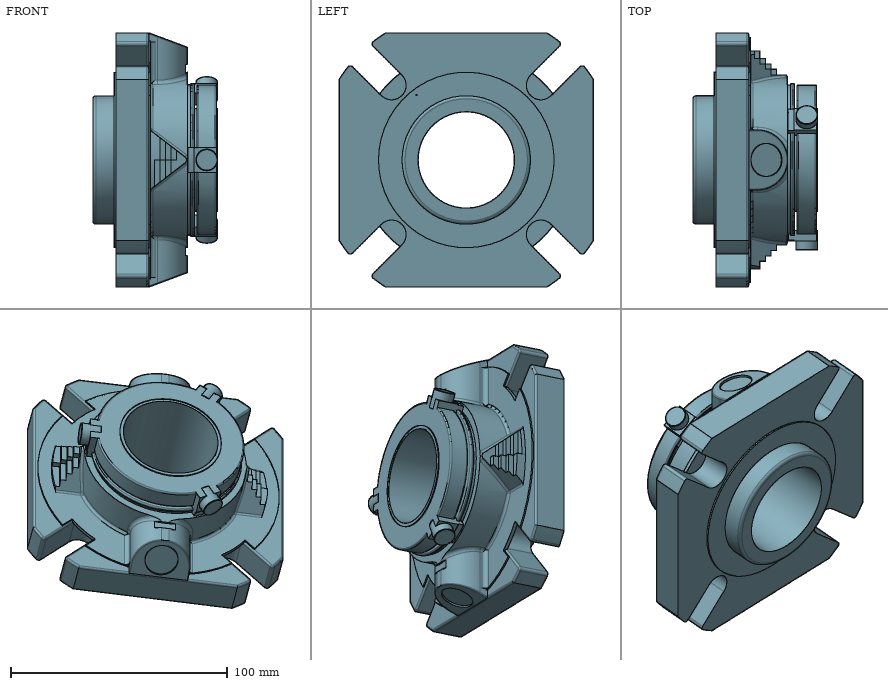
import cadquery as cq
import math

flange_size = 117.5
flange_front = 10.7
flange_back = 25.8
flange_edge_radius = 0.9
pad_dia = 113.3
pad_end = 26.5
corner_turn_dia = 139.1
slot_width = 13.4
slot_centre_radius = 48.7
slot_mouth_radius = 1.4

bore_dia = 44.4
sleeve_dia = 59.3
sleeve_edge_radius = 1.4
register_dia = 81.0
register_front = 9.9
hub_dia = 76.1
hub_end = 43.7
hub_foot_radius = 0.8
inner_ring_dia = 47.6
inner_ring_end = 57.7
seal_ring_dia = 69.3
seal_ring_end = 45.1
flinger_dia = 70.8
flinger_end = 47.0
flinger_edge_radius = 0.7
collar_dia = 69.3
collar_start = 48.0
collar_end = 57.2
collar_edge_radius = 0.7

screw_count = 3
screw_dia = 10.0
screw_x = 52.6
screw_top = 41.7
screw_chamfer = 0.2
lug_start = 44.0
lug_round_end = 46.7
lug_width = 11.4
lug_inner = 32.5
lug_outer = 37.5

boss_radius = 13.9
boss_end = 43.8
boss_slope = 20.5
boss_fillet = 2.1
boss_rim_radius = 0.5
recess_dia = 15.3
recess_x = 34.1
recess_depth = 0.9
relief_x = 42.9
relief_inner_dia = 81.0
relief_outer_dia = 88.5

rib_half_width = 13.7
rib_tip = 44.4
rib_tip_radius = 1.8
rib_fillet = 1.3
rib_first_step = 28.4
rib_step_length = 2.6
rib_heights = (50.4, 46.9, 44.4, 41.9, 39.3)

flange_middle = (flange_front + flange_back) / 2
diagonal_angles = [45 + 90 * corner for corner in range(4)]
casting_start = flange_back - flange_edge_radius
casting_run_out = hub_end + 2 * boss_fillet


def disc(diameter, start, end):
    """Cylinder about the X axis between two X positions."""
    return cq.Workplane("YZ").workplane(offset=start).circle(diameter / 2).extrude(end - start)


def half_turn(body):
    """The body together with its copy turned half way round the X axis."""
    return body.union(body.rotate((0, 0, 0), (1, 0, 0), 180))


def cut_slots(plate, width):
    """Cut the four round-ended slots that open at the corners."""
    slot_length = corner_turn_dia / 2
    slot = (
        cq.Workplane("YZ").workplane(offset=flange_front)
        .center(slot_centre_radius + (slot_length - width) / 2, 0)
        .slot2D(slot_length, width).extrude(hub_end - flange_front)
    )
    for angle in diagonal_angles:
        plate = plate.cut(slot.rotate((0, 0, 0), (1, 0, 0), angle))
    return plate


def make_pad():
    """Low round pad on the back of the flange, kept clear of the rounded slot edges."""
    return cut_slots(disc(pad_dia, flange_back, pad_end), slot_width + 2 * flange_edge_radius)


def make_flange():
    """Square plate with turned corners and four open diagonal bolt slots."""
    thickness = flange_back - flange_front
    plate = (
        cq.Workplane("YZ").workplane(offset=flange_front)
        .rect(flange_size, flange_size).extrude(thickness)
        .intersect(disc(corner_turn_dia, flange_front, flange_back))
    )
    plate = cut_slots(plate, slot_width)

    mouth_radius = corner_turn_dia / 2
    mouth_half_angle = math.asin(slot_width / 2 / mouth_radius)
    for angle in diagonal_angles:
        for side in (-1, 1):
            turn = math.radians(angle) + side * mouth_half_angle
            mouth = (flange_middle, mouth_radius * math.cos(turn), mouth_radius * math.sin(turn))
            mouth_edge = cq.selectors.NearestToPointSelector(mouth)
            plate = plate.edges("|X").edges(mouth_edge).fillet(slot_mouth_radius)
    return plate.faces(">X").edges().fillet(flange_edge_radius)


def make_boss():
    """U-shaped boss standing up along +Z, with a round recess sunk into its sloped top."""
    boss_centre = boss_end - boss_radius
    top = flange_size / 2
    slope = math.tan(math.radians(boss_slope))
    boss = (
        cq.Workplane("XY")
        .moveTo(flange_back, -boss_radius)
        .lineTo(boss_centre, -boss_radius)
        .threePointArc((boss_end, 0), (boss_centre, boss_radius))
        .lineTo(flange_back, boss_radius)
        .close().extrude(top)
    )
    wedge = (
        cq.Workplane("XZ").workplane(offset=-boss_radius)
        .moveTo(flange_back, top)
        .lineTo(boss_end, top - (boss_end - flange_back) * slope)
        .lineTo(boss_end, top)
        .close().extrude(2 * boss_radius)
    )
    boss = boss.cut(wedge).faces(">Z or >Z[-1]").edges("not |Y").fillet(boss_rim_radius)
    recess = (
        cq.Workplane("XY").circle(recess_dia / 2).extrude(-recess_depth)
        .rotate((0, 0, 0), (0, 1, 0), boss_slope)
        .translate((recess_x, 0, top - (recess_x - flange_back) * slope))
    )
    return boss.cut(recess)


def make_rib():
    """Triangular rib standing out along -Y, still without its steps."""
    rib = (
        cq.Workplane("XZ")
        .moveTo(casting_start, -rib_half_width)
        .lineTo(pad_end, -rib_half_width)
        .lineTo(rib_tip, 0)
        .lineTo(pad_end, rib_half_width)
        .lineTo(casting_start, rib_half_width)
        .close().extrude(rib_heights[0])
        .edges("|Y").edges(">X").fillet(rib_tip_radius)
    )
    pad_layer = (
        cq.Workplane("XZ").center((casting_start + pad_end) / 2, 0)
        .rect(pad_end - casting_start, pad_dia).extrude(rib_heights[0])
    )
    rib = rib.union(pad_layer)
    for side in (-1, 1):
        foot = cq.selectors.NearestToPointSelector((pad_end, -rib_heights[0] / 2, side * rib_half_width))
        rib = rib.edges("|Y").edges(foot).fillet(rib_fillet)
    return rib


def fillet_onto_hub(body, radius):
    """Fillet the edges where a projection meets the round side of the hub."""
    hub_radius = hub_dia / 2

    def lies_on_hub(edge):
        if edge.BoundingBox().xlen < 0.1:
            return False
        points = [edge.positionAt(step / 4) for step in range(5)]
        return all(abs(math.hypot(p.y, p.z) - hub_radius) < 0.01 for p in points)

    edges = [edge for edge in body.edges().vals() if lies_on_hub(edge)]
    return body.newObject(edges).fillet(radius)


def rib_step_cut(first_step, side):
    """Space outside the staircase on one half of the -Y rib, above (+1) or below (-1) its middle."""
    outline = cq.Workplane("XY").moveTo(first_step, -flange_size / 2)
    outline = outline.lineTo(first_step, -rib_heights[1])
    for index, height in enumerate(rib_heights[2:], start=1):
        step_x = first_step + index * rib_step_length
        outline = outline.lineTo(step_x, -rib_heights[index])
        outline = outline.lineTo(step_x, -height)
    outline = outline.lineTo(casting_run_out, -rib_heights[-1]).lineTo(casting_run_out, -flange_size / 2)
    return outline.close().extrude(side * boss_radius)


def foot_profile(wall, radius):
    """Concave fillet section between the pad and a wall standing on it at the given Y."""
    blend = radius * (1 - math.sqrt(0.5))
    return (
        cq.Workplane("XY")
        .moveTo(pad_end, wall)
        .lineTo(pad_end + radius, wall)
        .threePointArc((pad_end + blend, wall + blend), (pad_end, wall + radius))
        .close()
    )


def make_feet():
    """Concave fillets where the hub and the straight boss sides stand on the pad."""
    hub_foot = foot_profile(hub_dia / 2, hub_foot_radius).revolve(360, (0, 0, 0), (1, 0, 0))
    foot_top = math.sqrt((pad_dia / 2) ** 2 - (boss_radius + boss_fillet) ** 2)
    boss_foot = foot_profile(boss_radius, boss_fillet).extrude(foot_top)
    boss_feet = half_turn(boss_foot.union(boss_foot.mirror("XZ")))
    return hub_foot.union(boss_feet)


def make_casting():
    """Round hub with its two bosses and two stepped ribs."""
    casting = disc(hub_dia, casting_start, casting_run_out + boss_fillet)
    casting = fillet_onto_hub(casting.union(half_turn(make_boss())), boss_fillet)
    ribs = fillet_onto_hub(
        disc(hub_dia, casting_start, casting_run_out + boss_fillet).union(half_turn(make_rib())), rib_fillet
    )
    upper_steps = rib_step_cut(rib_first_step + rib_step_length, 1)
    lower_steps = rib_step_cut(rib_first_step, -1)
    ribs = ribs.intersect(disc(2 * rib_heights[0], casting_start, casting_run_out))
    ribs = ribs.cut(half_turn(upper_steps.union(lower_steps)))
    casting = casting.union(ribs).union(make_feet())

    relief = disc(relief_outer_dia, relief_x, hub_end).cut(disc(relief_inner_dia, relief_x, hub_end))
    beyond_hub = disc(2 * flange_size, hub_end, casting_run_out + 2 * boss_fillet)
    return casting.cut(relief).cut(beyond_hub)


def make_screw_lug():
    """Lug on the collar with its set screw, pointing along -Y."""
    lug = (
        cq.Workplane("XZ").workplane(offset=lug_inner)
        .center((lug_start + collar_end) / 2, 0)
        .rect(collar_end - lug_start, lug_width).extrude(lug_outer - lug_inner)
    )
    lug = lug.cut(disc(2 * flange_size, lug_start, lug_round_end).cut(disc(2 * lug_outer, lug_start, lug_round_end)))
    screw = (
        cq.Workplane("XZ").workplane(offset=lug_inner)
        .center(screw_x, 0)
        .circle(screw_dia / 2).extrude(screw_top - lug_inner)
        .faces("<Y").chamfer(screw_chamfer)
    )
    return lug.union(screw)


sleeve = disc(sleeve_dia, 0, flange_front).faces("<X").edges().fillet(sleeve_edge_radius)
register = disc(register_dia, register_front, flange_front)
inner_ring = disc(inner_ring_dia, hub_end, inner_ring_end)
seal_ring = disc(seal_ring_dia, hub_end, seal_ring_end)
flinger = disc(flinger_dia, seal_ring_end, flinger_end).edges().fillet(flinger_edge_radius)
collar = disc(collar_dia, collar_start, collar_end).edges().fillet(collar_edge_radius)

result = make_flange().union(make_pad()).union(make_casting())
for turned in (sleeve, register, inner_ring, seal_ring, flinger, collar):
    result = result.union(turned)
for index in range(screw_count):
    result = result.union(make_screw_lug().rotate((0, 0, 0), (1, 0, 0), index * 360 / screw_count))

result = result.cut(disc(bore_dia, 0, inner_ring_end))